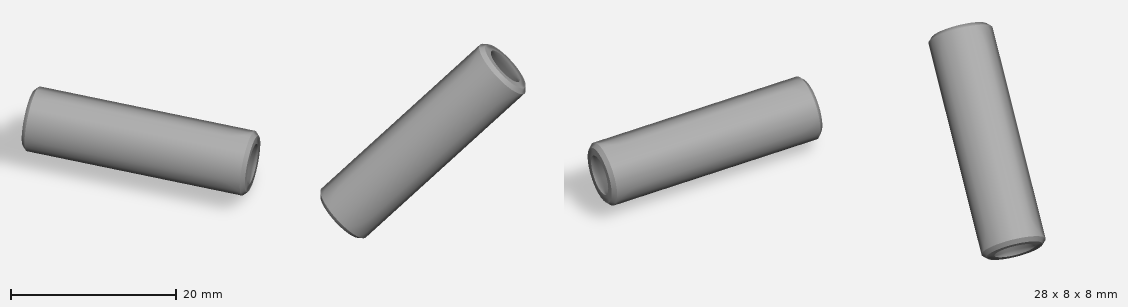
import cadquery as cq

length = 28.0
outer_diameter = 8.0
bore_diameter = 5.0
end_chamfer = 0.5


def make_sleeve():
    """Cylinder along X, chamfered at both ends, with a through bore."""
    body = cq.Workplane("YZ").circle(outer_diameter / 2).extrude(length)
    body = body.faces("<X or >X").edges().chamfer(end_chamfer)
    bore = cq.Workplane("YZ").circle(bore_diameter / 2).extrude(length)
    return body.cut(bore)


result = make_sleeve()